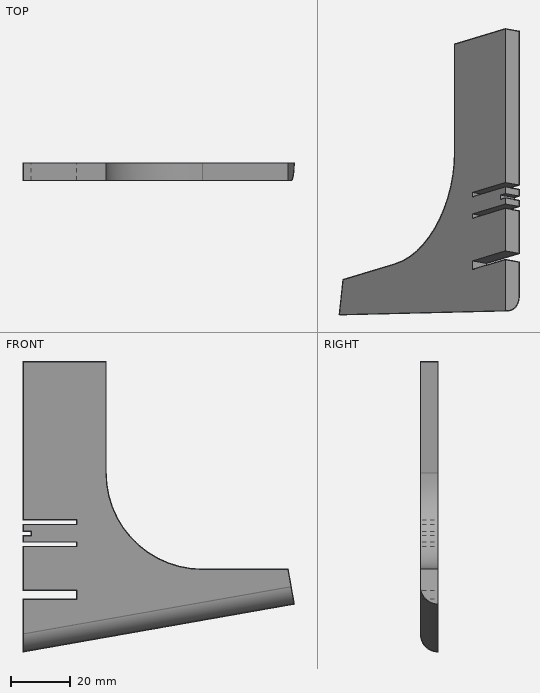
import cadquery as cq
import math

thickness = 6.0
height = 97.9
overall_width = 91.5
upright_width = 28.0
ledge_height = 27.9
corner_radius = 32.4
base_angle = 10.0

long_slot_depth = 18.0
short_slot_depth = 2.6
narrow_slot = 1.5
wide_slot = 2.9
slots = [
    (43.8, long_slot_depth, narrow_slot),
    (40.0, short_slot_depth, narrow_slot),
    (36.3, long_slot_depth, narrow_slot),
    (19.3, long_slot_depth, wide_slot),
]

slope = math.tan(math.radians(base_angle))
tip_height = overall_width * slope
ledge_end = overall_width - (ledge_height - tip_height) * slope


def make_plate():
    arc_x = upright_width + corner_radius
    arc_z = ledge_height + corner_radius
    arc_reach = corner_radius * math.sqrt(0.5)
    return (
        cq.Workplane("XZ")
        .moveTo(0, 0)
        .lineTo(overall_width, tip_height)
        .lineTo(ledge_end, ledge_height)
        .lineTo(arc_x, ledge_height)
        .threePointArc((arc_x - arc_reach, arc_z - arc_reach), (upright_width, arc_z))
        .lineTo(upright_width, height)
        .lineTo(0, height)
        .close()
        .extrude(-thickness)
    )


def make_edge_cutter():
    """Waste outside a quarter round of full plate thickness, along the lower edge."""
    radius = thickness
    half_length = height
    mid = radius * (1 - math.sqrt(0.5))
    waste = (
        cq.Workplane("YZ")
        .moveTo(0, 0)
        .lineTo(0, radius)
        .threePointArc((mid, mid), (radius, 0))
        .close()
        .extrude(half_length, both=True)
    )
    return waste.rotate((0, 0, 0), (0, 1, 0), -base_angle)


def make_slot(center_height, depth, width):
    return (
        cq.Workplane("XY")
        .box(depth, thickness, width, centered=(False, False, True))
        .translate((0, 0, center_height))
    )


result = make_plate().cut(make_edge_cutter())
for center_height, depth, width in slots:
    result = result.cut(make_slot(center_height, depth, width))